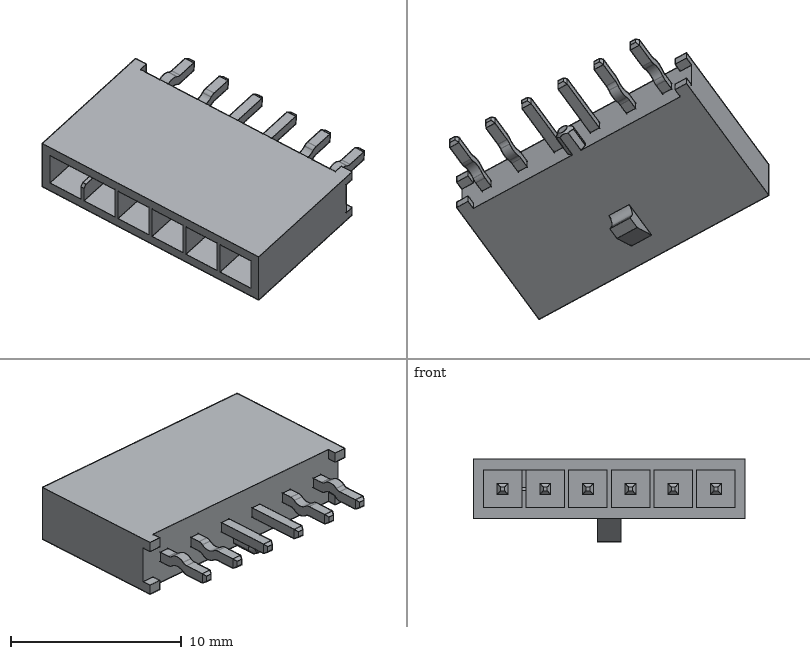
import cadquery as cq
import math


pin_count = 6
pitch = 2.5
row_height = 1.74

housing_width = 15.94
housing_depth = 8.5
total_height = 4.88
housing_height = 3.5
foot_width = 0.8
foot_height = 0.62
foot_length = 0.57

cavity_width = 2.26
cavity_height = 2.22
cavity_floor = 0.64
cavity_depth = 7.01
key_notch_floor = 1.83
key_notch_depth = 1.5
key_notch_chamfer = 0.19

peg_radius = 0.6
peg_axis_height = 0.41
peg_end = 10.07
peg_chamfer = 0.29
peg_flat_height = 0.3

hook_width = 1.4
hook_drop = total_height - housing_height
hook_root_front = 1.37
hook_root_back = 3.84
hook_tip_front = 2.96
hook_tip_back = 3.75
hook_waist_y = 3.54
hook_waist_drop = 0.81

pin_size = 0.64
pin_front = 2.0
pin_back = 12.25
tip_length = 0.22
front_tip_size = 0.22
back_tip_size = 0.38
bend_center = 9.95
bend_half_length = 0.77
bend_crest_half_length = 0.48
bend_rise = 0.27
bend_directions = [1, -1, 0, 0, -1, 1]

pin_places = [(i - (pin_count - 1) / 2) * pitch for i in range(pin_count)]


def box(x_center, width, y_start, y_end, z_start, z_end):
    """Block centred on x_center, between the given Y and Z limits."""
    return (
        cq.Workplane("XY")
        .box(width, y_end - y_start, z_end - z_start, centered=(True, False, False))
        .translate((x_center, y_start, z_start))
    )


def make_feet():
    """Four corner feet that stand out from the back face."""
    feet = cq.Workplane("XY")
    foot_end = housing_depth + foot_length
    foot_x = (housing_width - foot_width) / 2
    for x in (-foot_x, foot_x):
        for z in (0, housing_height - foot_height):
            feet = feet.add(box(x, foot_width, housing_depth, foot_end, z, z + foot_height))
    return feet


def make_cavities():
    """Rectangular cavities, one round each pin, open at the mating face."""
    cavities = cq.Workplane("XY")
    ceiling = cavity_floor + cavity_height
    for x in pin_places:
        cavities = cavities.add(box(x, cavity_width, 0, cavity_depth, cavity_floor, ceiling))
    return cavities


def make_key_notch():
    """Notch in the front of the wall between the first two cavities."""
    ceiling = cavity_floor + cavity_height
    return (
        cq.Workplane("YZ", origin=((pin_places[0] + pin_places[1]) / 2, 0, 0))
        .moveTo(0, ceiling)
        .lineTo(0, key_notch_floor - key_notch_chamfer)
        .lineTo(key_notch_chamfer, key_notch_floor)
        .lineTo(key_notch_depth, key_notch_floor)
        .lineTo(key_notch_depth, ceiling)
        .close()
        .extrude((pitch - cavity_width) / 2, both=True)
    )


def make_peg():
    """Round peg with a chamfered end, a flat underside and two 45 degree flats."""
    peg_length = peg_end - housing_depth
    cylinder = (
        cq.Workplane("XZ", origin=(0, housing_depth, peg_axis_height))
        .circle(peg_radius)
        .extrude(-peg_length)
        .faces(">Y")
        .chamfer(peg_chamfer)
    )
    flat_top_x = math.sqrt(peg_radius**2 - (peg_axis_height - peg_flat_height) ** 2)
    flat_bottom_x = flat_top_x - peg_flat_height
    envelope_x = 2 * peg_radius
    side_bottom = envelope_x - flat_bottom_x
    top = side_bottom + 2 * peg_radius
    envelope = (
        cq.Workplane("XZ", origin=(0, housing_depth, 0))
        .polyline([
            (-flat_bottom_x, 0),
            (flat_bottom_x, 0),
            (envelope_x, side_bottom),
            (envelope_x, top),
            (-envelope_x, top),
            (-envelope_x, side_bottom),
        ])
        .close()
        .extrude(-peg_length)
    )
    return cylinder.intersect(envelope)


def make_hook():
    """Latch hook with a sloping front and a hollowed back."""
    return (
        cq.Workplane("YZ")
        .moveTo(hook_root_front, 0)
        .lineTo(hook_tip_front, -hook_drop)
        .lineTo(hook_tip_back, -hook_drop)
        .lineTo(hook_waist_y, -hook_waist_drop)
        .tangentArcPoint((hook_root_back, 0), relative=False)
        .close()
        .extrude(hook_width / 2, both=True)
    )


def bend_edge(profile, base_z, rise, direction):
    """Add three tangent arcs along one edge of a bent pin; direction is +1 towards +Y."""
    start_y = bend_center - direction * bend_half_length
    crest_start_y = bend_center - direction * bend_crest_half_length
    crest_end_y = bend_center + direction * bend_crest_half_length
    end_y = bend_center + direction * bend_half_length
    crest_base_z = base_z + rise * (1 - bend_crest_half_length / bend_half_length)
    return (
        profile.lineTo(start_y, base_z)
        .tangentArcPoint((crest_start_y, crest_base_z), relative=False)
        .threePointArc((bend_center, base_z + rise), (crest_end_y, crest_base_z))
        .tangentArcPoint((end_y, base_z), relative=False)
    )


def make_tip(y_base, tip_size, direction):
    """Tapered square end of a pin, growing towards +Y or -Y."""
    return (
        cq.Workplane(cq.Plane((0, y_base, row_height), (1, 0, 0), (0, direction, 0)))
        .rect(pin_size, pin_size)
        .workplane(offset=tip_length)
        .rect(tip_size, tip_size)
        .loft(ruled=True)
    )


def make_pin(x, bend_direction):
    """Square pin with tapered ends; its tail is bent up, bent down or straight."""
    shank_front = pin_front + tip_length
    shank_back = pin_back - tip_length
    bottom = row_height - pin_size / 2
    top = row_height + pin_size / 2
    rise = bend_direction * bend_rise

    profile = cq.Workplane("YZ").moveTo(shank_front, bottom)
    if bend_direction:
        profile = bend_edge(profile, bottom, rise, 1)
    profile = profile.lineTo(shank_back, bottom).lineTo(shank_back, top)
    if bend_direction:
        profile = bend_edge(profile, top, rise, -1)
    shank = profile.lineTo(shank_front, top).close().extrude(pin_size / 2, both=True)

    pin = (
        shank
        .union(make_tip(shank_front, front_tip_size, -1))
        .union(make_tip(shank_back, back_tip_size, 1))
    )
    return pin.translate((x, 0, 0))


def make_housing():
    """Housing with its feet, peg and hook, its cavities, and a close hole for each pin."""
    housing = box(0, housing_width, 0, housing_depth, 0, housing_height)
    for foot in make_feet().vals():
        housing = housing.union(cq.Workplane(foot))
    housing = housing.union(make_peg()).union(make_hook())
    for cavity in make_cavities().vals():
        housing = housing.cut(cq.Workplane(cavity))
    housing = housing.cut(make_key_notch())
    hole_bottom = row_height - pin_size / 2
    for x in pin_places:
        hole = box(x, pin_size, cavity_depth, housing_depth, hole_bottom, hole_bottom + pin_size)
        housing = housing.cut(hole)
    return housing


housing = make_housing()
pins = [make_pin(x, bend) for x, bend in zip(pin_places, bend_directions)]

result = cq.Compound.makeCompound([housing.val(), *[pin.val() for pin in pins]])